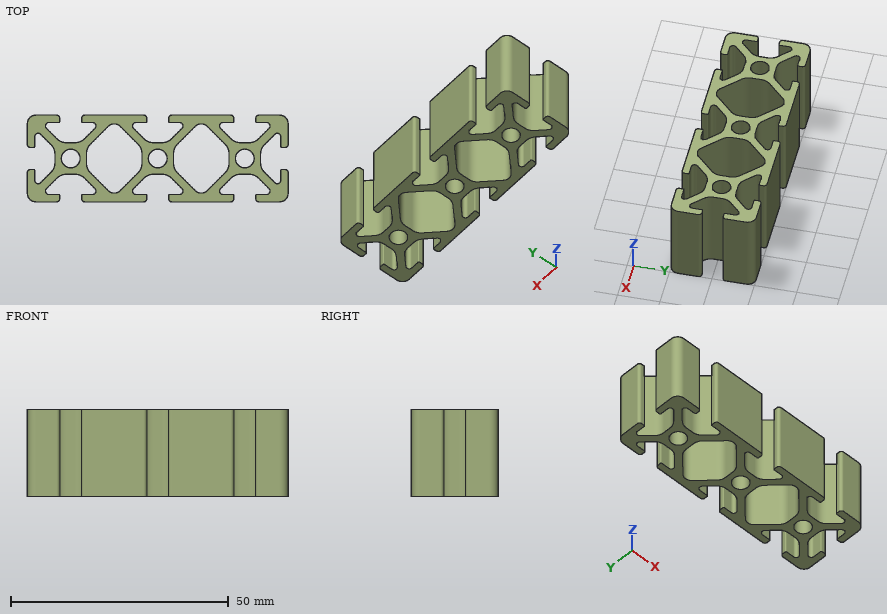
import cadquery as cq
import math

length_x = 60.0
cell_count = 3
pitch = length_x / cell_count
height_z = pitch
half = pitch / 2
corner_radius = 2.05

opening_half = 2.5
lip_thickness = 1.75
lip_radius = 0.7
lip_inner_radius = 0.25
floor_offset = 3.65
floor_radius = 3.0
pocket_radius = 0.8
slot_flank_shift = 1.4

web_thickness = 1.85
hole_diameter = 4.25
cavity_wall_radius = 3.0
cavity_tip_radius = 2.0

reach = 0.005

cell_centres = [(i - (cell_count - 1) / 2) * pitch for i in range(cell_count)]
cavity_centres = [(a + b) / 2 for a, b in zip(cell_centres, cell_centres[1:])]


def near(x_values, y_values):
    """Select the vertical edges at every combination of the listed x and y values."""
    selector = None
    for x in x_values:
        for y in y_values:
            box = cq.selectors.BoxSelector(
                (x - reach, y - reach, -reach), (x + reach, y + reach, height_z + reach)
            )
            selector = box if selector is None else selector + box
    return selector


def t_slot():
    """T-slot cutter that opens toward +Y, with the cell centre at the origin."""
    ceiling = half - lip_thickness
    floor_half = floor_offset - slot_flank_shift
    pocket_half = ceiling - slot_flank_shift
    pocket = (
        cq.Workplane("XY")
        .polyline([
            (-floor_half, floor_offset),
            (floor_half, floor_offset),
            (pocket_half, ceiling),
            (-pocket_half, ceiling),
        ])
        .close()
        .extrude(height_z)
    )
    pocket = pocket.edges(near([-floor_half, floor_half], [floor_offset])).fillet(floor_radius)
    pocket = pocket.edges(near([-pocket_half, pocket_half], [ceiling])).fillet(pocket_radius)
    opening = (
        cq.Workplane("XY")
        .center(0, half - lip_thickness / 2)
        .rect(2 * opening_half, lip_thickness)
        .extrude(height_z)
    )
    cutter = pocket.union(opening)
    lip_corners = near([-opening_half, opening_half], [ceiling])
    return cutter.edges(lip_corners).fillet(lip_inner_radius)


def cavity():
    """Hexagonal cavity cutter between two neighbouring cells, centred on the origin."""
    flank_shift = web_thickness * math.sqrt(2) - slot_flank_shift
    wall_x = half - floor_offset
    wall_half = floor_offset - flank_shift
    tip_y = half - flank_shift
    body = (
        cq.Workplane("XY")
        .polyline([
            (wall_x, -wall_half),
            (wall_x, wall_half),
            (0, tip_y),
            (-wall_x, wall_half),
            (-wall_x, -wall_half),
            (0, -tip_y),
        ])
        .close()
        .extrude(height_z)
    )
    body = body.edges(near([-wall_x, wall_x], [-wall_half, wall_half])).fillet(cavity_wall_radius)
    return body.edges(near([0], [-tip_y, tip_y])).fillet(cavity_tip_radius)


result = (
    cq.Workplane("XY")
    .rect(length_x, pitch)
    .extrude(height_z)
    .edges("|Z")
    .fillet(corner_radius)
)

slot = t_slot()
for x in cell_centres:
    for angle in (0, 180):
        result = result.cut(slot.rotate((0, 0, 0), (0, 0, 1), angle).translate((x, 0, 0)))
for x, angle in ((cell_centres[0], 90), (cell_centres[-1], -90)):
    result = result.cut(slot.rotate((0, 0, 0), (0, 0, 1), angle).translate((x, 0, 0)))

long_side_lips = near(
    [x + side * opening_half for x in cell_centres for side in (-1, 1)], [-half, half]
)
end_lips = near([-length_x / 2, length_x / 2], [-opening_half, opening_half])
result = result.edges(long_side_lips + end_lips).fillet(lip_radius)

for x in cavity_centres:
    result = result.cut(cavity().translate((x, 0, 0)))
result = result.cut(
    cq.Workplane("XY")
    .pushPoints([(x, 0) for x in cell_centres])
    .circle(hole_diameter / 2)
    .extrude(height_z)
)